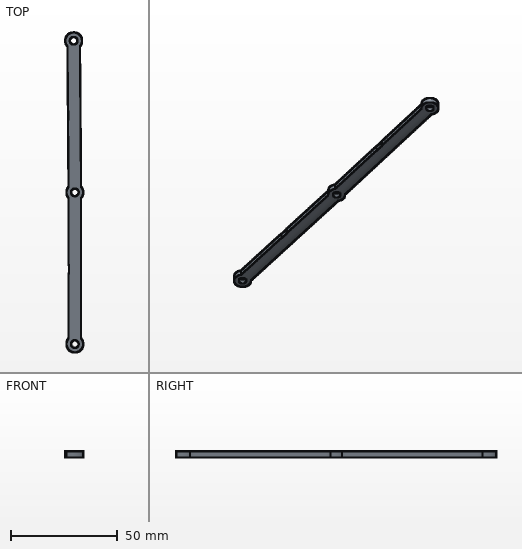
import cadquery as cq
import math

length = 150.1
width = 8.5
thickness = 3.0

end_offset = 0.55
eye_diameter = width - end_offset
hole_diameter = 3.5
eye_spacing = (length - eye_diameter) / 2

bar_width = 6.0
relief_length = 4.0
relief_depth = 0.2
relief_center = 36.0

straight_x = end_offset / 2
bottom_eye = (straight_x, -eye_spacing)
middle_eye = (straight_x, 0)
top_eye = (straight_x - end_offset, eye_spacing)
eyes = [bottom_eye, middle_eye, top_eye]


def bar(far_eye):
    """Bar from the middle eye to an end eye, with its -X flank relieved."""
    run_x = far_eye[0] - middle_eye[0]
    run_y = far_eye[1] - middle_eye[1]
    side = math.copysign(1, run_y)
    bar_length = math.hypot(run_x, run_y)
    tilt = -math.degrees(math.atan(run_x / run_y))

    body = cq.Workplane("XY").box(bar_width, bar_length, thickness)
    body = body.translate((0, side * bar_length / 2, 0))
    relief = cq.Workplane("XY").box(2 * relief_depth, relief_length, thickness)
    relief = relief.translate((-bar_width / 2, side * relief_center, 0))
    placed = body.cut(relief).rotate((0, 0, 0), (0, 0, 1), tilt)
    return placed.translate((middle_eye[0], middle_eye[1], 0))


def eye_cylinders(diameter):
    """One full-thickness cylinder at every eye centre."""
    base = cq.Workplane("XY").workplane(offset=-thickness / 2)
    return base.pushPoints(eyes).circle(diameter / 2).extrude(thickness)


result = bar(bottom_eye).union(bar(top_eye))
result = result.union(eye_cylinders(eye_diameter))
result = result.cut(eye_cylinders(hole_diameter))